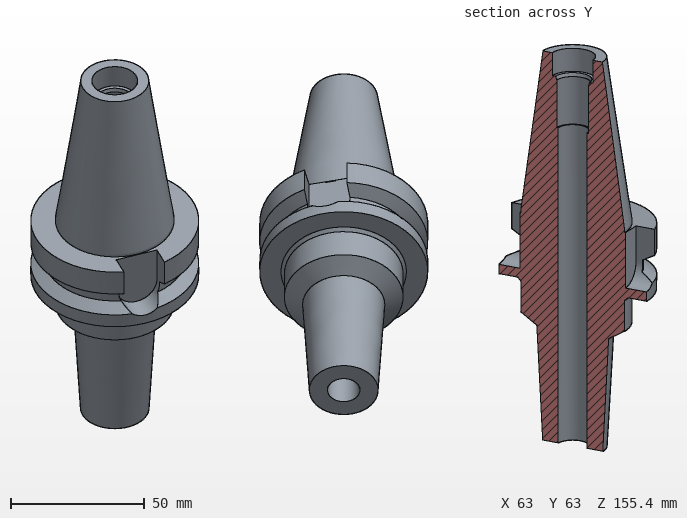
import cadquery as cq

total_length = 155.4

taper_small_radius = 12.7
gauge_radius = 22.2
gauge_z = 90.0
neck_length = 1.0

flange_radius = 63.0 / 2
flange_top_z = gauge_z - neck_length
flange_bottom_z = 63.1
upper_rim_height = 10.4
lower_rim_height = 5.6
groove_radius = 26.5
groove_flank_height = 2.8
groove_top_z = flange_top_z - upper_rim_height
groove_bottom_z = flange_bottom_z + lower_rim_height

body_radius = 22.2
body_bottom_z = 49.5
relief_size = 1.2

nose_root_radius = 15.4
nose_root_z = 45.4
nose_tip_radius = 12.9

slot_width = 16.3
slot_floor_distance = 22.5
slot_depth = 22.0

counterbore_radius = 8.5
counterbore_depth = 9.2
thread_radius = 6.7
thread_chamfer_radius = 7.1
thread_chamfer_height = 1.4
thread_end_depth = 29.5
through_radius = 6.0


def turned_body():
    """Revolve the outer half profile about Z."""
    profile = [
        (0, 0),
        (nose_tip_radius, 0),
        (nose_root_radius, nose_root_z),
        (body_radius, body_bottom_z),
        (body_radius, flange_bottom_z - relief_size),
        (body_radius + relief_size, flange_bottom_z),
        (flange_radius, flange_bottom_z),
        (flange_radius, groove_bottom_z),
        (groove_radius, groove_bottom_z + groove_flank_height),
        (groove_radius, groove_top_z - groove_flank_height),
        (flange_radius, groove_top_z),
        (flange_radius, flange_top_z),
        (gauge_radius, flange_top_z),
        (gauge_radius, gauge_z),
        (taper_small_radius, total_length),
        (0, total_length),
    ]
    return cq.Workplane("XZ").polyline(profile).close().revolve(360, (0, 0), (0, 1))


def stepped_bore():
    """Revolve the half profile of the counterbore, thread bore and through hole."""
    counterbore_z = total_length - counterbore_depth
    thread_end_z = total_length - thread_end_depth
    profile = [
        (0, 0),
        (through_radius, 0),
        (through_radius, thread_end_z),
        (thread_radius, thread_end_z),
        (thread_radius, counterbore_z - thread_chamfer_height),
        (thread_chamfer_radius, counterbore_z),
        (counterbore_radius, counterbore_z),
        (counterbore_radius, total_length),
        (0, total_length),
    ]
    return cq.Workplane("XZ").polyline(profile).close().revolve(360, (0, 0), (0, 1))


def drive_slot(side):
    """Round-bottomed slot through the flange rim on the +X (side=1) or -X (side=-1) side."""
    half_width = slot_width / 2
    slot_bottom_z = flange_top_z - slot_depth
    round_center_z = slot_bottom_z + half_width
    return (
        cq.Workplane("YZ", origin=(side * slot_floor_distance, 0, 0))
        .moveTo(-half_width, flange_top_z)
        .lineTo(-half_width, round_center_z)
        .threePointArc((0, slot_bottom_z), (half_width, round_center_z))
        .lineTo(half_width, flange_top_z)
        .close()
        .extrude(side * flange_radius)
    )


result = turned_body().cut(stepped_bore())
for side in (-1, 1):
    result = result.cut(drive_slot(side))